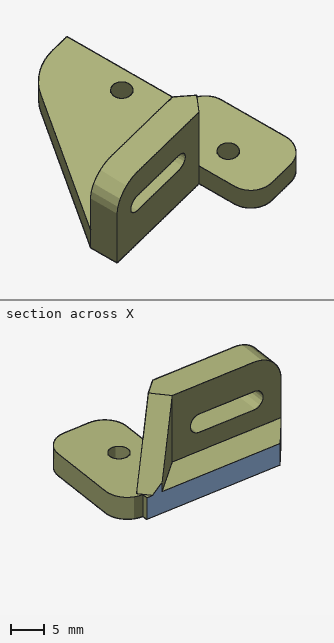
import cadquery as cq
import math

plate_thickness = 4.0
plate_back = 28.5
plate_corner_radius = 10.0
pad_length = 20.0
pad_right = 42.0
pad_left = pad_right - pad_length
pad_back = 32.5
pad_radius = 4.0

wall_left = 26.38
wall_thickness = 5.0
wall_right = wall_left + wall_thickness
wall_length = 20.0
wall_height = 16.0
wall_radius = 5.0

gusset_angle = 46.7
gusset_run = 9.15

hole_diameter = 3.3
hole_y = 25.0
hole_xs = (13.0, 33.0)
slot_center_y = wall_length / 2
slot_center_z = 9.05
slot_length = 13.3


def make_plate():
    outline = [
        (0, plate_back),
        (0, wall_length),
        (wall_left, 0),
        (wall_right, 0),
        (wall_right, plate_back),
    ]
    plate = cq.Workplane("XY").polyline(outline).close().extrude(plate_thickness)
    sharp_corner = cq.selectors.NearestToPointSelector((0, wall_length, plate_thickness / 2))
    return plate.edges(sharp_corner).fillet(plate_corner_radius)


def make_pad():
    pad = (
        cq.Workplane("XY")
        .box(pad_length, pad_back - wall_length, plate_thickness, centered=False)
        .translate((pad_left, wall_length, 0))
    )
    return pad.edges("|Z").edges(">X or >Y").fillet(pad_radius)


def make_wall():
    wall = (
        cq.Workplane("XY")
        .box(wall_thickness, wall_length, wall_height, centered=False)
        .edges("|X and >Z and <Y")
        .fillet(wall_radius)
    )
    return wall.translate((wall_left, 0, 0))


def make_gusset():
    angle = math.radians(gusset_angle)
    width = wall_thickness * math.sin(angle)
    flat_length = wall_thickness * math.cos(angle)
    profile = [
        (0, 0),
        (0, wall_height),
        (flat_length, wall_height),
        (flat_length + gusset_run, plate_thickness),
        (flat_length + gusset_run, 0),
    ]
    gusset = (
        cq.Workplane("XZ")
        .polyline(profile)
        .close()
        .extrude(-width)
        .rotate((0, 0, 0), (0, 0, 1), 180 - gusset_angle)
        .translate((wall_right, wall_length, 0))
    )
    behind_wall = (
        cq.Workplane("XY")
        .box(pad_right, pad_back, wall_height, centered=False)
        .translate((0, wall_length, 0))
    )
    return gusset.intersect(behind_wall)


def make_holes():
    return (
        cq.Workplane("XY")
        .pushPoints([(x, hole_y) for x in hole_xs])
        .circle(hole_diameter / 2)
        .extrude(plate_thickness)
    )


def make_slot():
    return (
        cq.Workplane("YZ", origin=(wall_left, 0, 0))
        .center(slot_center_y, slot_center_z)
        .slot2D(slot_length, hole_diameter)
        .extrude(wall_thickness)
    )


body = make_plate().union(make_pad()).union(make_wall()).union(make_gusset())
result = body.cut(make_holes()).cut(make_slot())